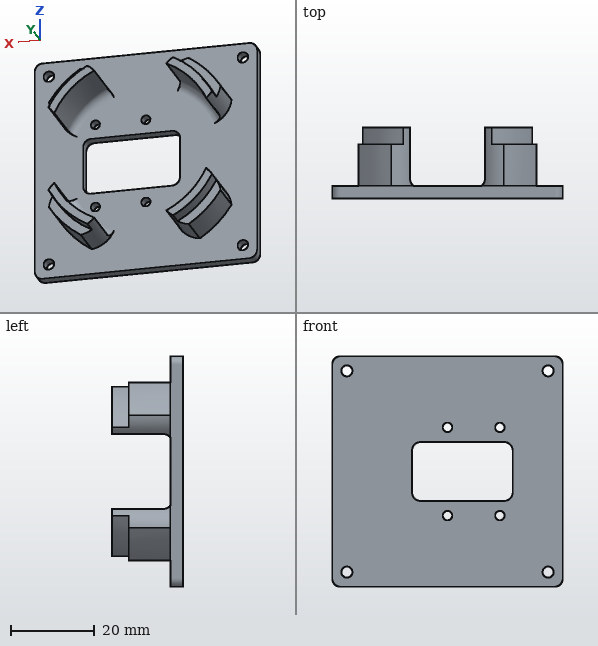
import cadquery as cq

plate_size = 55.0
plate_thickness = 3.0
plate_corner_radius = 2.0
corner_hole_diameter = 2.6
corner_hole_offset = 24.0

window_left = -8.4
window_right = 15.5
window_height = 13.95
window_corner_radius = 2.0
small_hole_diameter = 2.2
small_hole_columns = (0.0, 12.5)
small_hole_offset = 10.5

total_depth = 17.0
lip_depth = 4.0
tab_inner_radius = 20.8
lip_outer_radius = 22.8
tab_outer_radius = 25.1
tab_circle_offset = 14.3
tab_circle_radius = 7.0
tab_root_radius = 2.0

shoulder_y = total_depth - lip_depth
fillet_top_y = plate_thickness + tab_root_radius
ring_start_y = plate_thickness / 2


def corner_points(offset):
    return [(x, z) for x in (-offset, offset) for z in (-offset, offset)]


def front_sketch():
    """Workplane on Y = 0 with local axes X and Z; extrude negatively to go toward +Y."""
    return cq.Workplane("XZ")


def make_plate():
    plate = front_sketch().rect(plate_size, plate_size).extrude(-plate_thickness)
    return plate.edges("|Y").fillet(plate_corner_radius)


def make_tabs():
    root_inner_radius = tab_inner_radius - tab_root_radius
    arc_offset = tab_root_radius * (1 - 0.5 ** 0.5)
    ring = (
        cq.Workplane("XY")
        .moveTo(root_inner_radius, ring_start_y)
        .lineTo(tab_outer_radius, ring_start_y)
        .lineTo(tab_outer_radius, shoulder_y)
        .lineTo(lip_outer_radius, shoulder_y)
        .lineTo(lip_outer_radius, total_depth)
        .lineTo(tab_inner_radius, total_depth)
        .lineTo(tab_inner_radius, fillet_top_y)
        .threePointArc(
            (tab_inner_radius - arc_offset, plate_thickness + arc_offset),
            (root_inner_radius, plate_thickness),
        )
        .close()
        .revolve(360, (0, 0, 0), (0, 1, 0))
    )
    trimming_cylinders = (
        front_sketch()
        .pushPoints(corner_points(tab_circle_offset))
        .circle(tab_circle_radius)
        .extrude(-total_depth)
    )
    return ring.intersect(trimming_cylinders)


def make_window():
    window = (
        front_sketch()
        .center((window_left + window_right) / 2, 0)
        .rect(window_right - window_left, window_height)
        .extrude(-plate_thickness)
    )
    return window.edges("|Y").fillet(window_corner_radius)


def make_holes(points, diameter):
    return front_sketch().pushPoints(points).circle(diameter / 2).extrude(-plate_thickness)


small_hole_points = [(x, z) for x in small_hole_columns for z in (-small_hole_offset, small_hole_offset)]

plate = (
    make_plate()
    .cut(make_window())
    .cut(make_holes(corner_points(corner_hole_offset), corner_hole_diameter))
    .cut(make_holes(small_hole_points, small_hole_diameter))
)
result = plate.union(make_tabs())